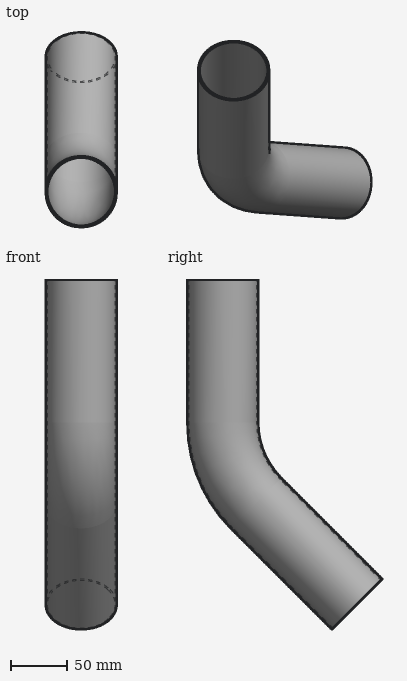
import cadquery as cq
import math

outer_diameter = 63.5
inner_diameter = 60.3
leg_length = 127.0
bend_radius = 101.6
bend_angle = 45.0

angle = math.radians(bend_angle)
leg_top = (0.0, leg_length)
bend_start = (0.0, 0.0)


def bend_point(turn):
    """Centreline point (y, z) after turning by `turn` radians from the upright leg."""
    return (bend_radius * (1 - math.cos(turn)), -bend_radius * math.sin(turn))


bend_middle = bend_point(angle / 2)
bend_end = bend_point(angle)
leg_bottom = (
    bend_end[0] + leg_length * math.sin(angle),
    bend_end[1] - leg_length * math.cos(angle),
)

centreline = (
    cq.Workplane("YZ")
    .moveTo(*leg_top)
    .lineTo(*bend_start)
    .threePointArc(bend_middle, bend_end)
    .lineTo(*leg_bottom)
)

result = (
    cq.Workplane("XY", origin=(0, *leg_top))
    .circle(outer_diameter / 2)
    .circle(inner_diameter / 2)
    .sweep(centreline)
)